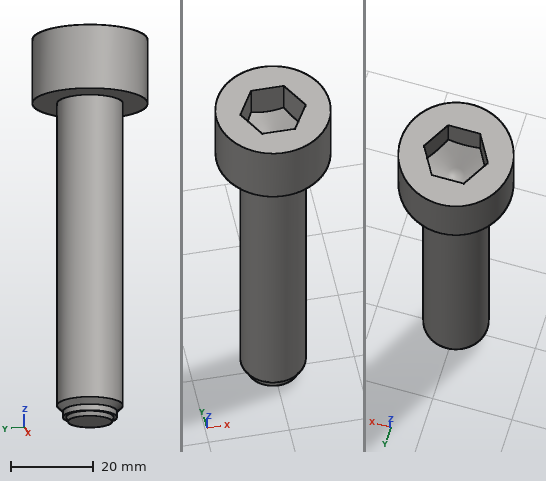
import cadquery as cq
import math


head_diameter = 28.0
head_height = 16.0
socket_across_flats = 14.0
socket_depth = 8.0
socket_cone_angle = 120.0

shank_diameter = 16.0
tip_diameter = 13.1
under_head_length = 80.0
tip_height = 1.5
ball_projection = 1.1

ball_diameter = 12.0
ball_flat_diameter = 10.7

head_radius = head_diameter / 2
shank_radius = shank_diameter / 2
tip_radius = tip_diameter / 2
ball_radius = ball_diameter / 2
ball_flat_radius = ball_flat_diameter / 2

chamfer = shank_radius - tip_radius
ball_flat_z = -under_head_length
screw_end_z = ball_flat_z + ball_projection
tip_top_z = screw_end_z + tip_height
ball_center_z = ball_flat_z + math.sqrt(ball_radius**2 - ball_flat_radius**2)


def revolve_about_z(outline):
    """Revolve a closed XZ outline a full turn about the Z axis."""
    return outline.revolve(360, (0, 0, 0), (0, 1, 0))


def make_screw_blank():
    """Head, shank, 45 degree chamfer and tip as one turned shape."""
    outline = (
        cq.Workplane("XZ")
        .moveTo(0, head_height)
        .lineTo(head_radius, head_height)
        .lineTo(head_radius, 0)
        .lineTo(shank_radius, 0)
        .lineTo(shank_radius, tip_top_z + chamfer)
        .lineTo(tip_radius, tip_top_z)
        .lineTo(tip_radius, screw_end_z)
        .lineTo(0, screw_end_z)
        .close()
    )
    return revolve_about_z(outline)


def make_socket():
    """Hexagonal recess with corners on the X axis and a conical bottom."""
    corner_radius = socket_across_flats / math.sqrt(3)
    cone_depth = corner_radius / math.tan(math.radians(socket_cone_angle / 2))
    full_depth = socket_depth + cone_depth
    hexagon = (
        cq.Workplane("XY")
        .workplane(offset=head_height)
        .polygon(6, 2 * corner_radius)
        .extrude(-full_depth)
    )
    drill_outline = (
        cq.Workplane("XZ")
        .moveTo(0, head_height)
        .lineTo(corner_radius, head_height)
        .lineTo(corner_radius, head_height - socket_depth)
        .lineTo(0, head_height - full_depth)
        .close()
    )
    return hexagon.intersect(revolve_about_z(drill_outline))


def make_ball():
    """Ball cut flat on its lower side."""
    outline = (
        cq.Workplane("XZ")
        .moveTo(0, ball_flat_z)
        .lineTo(ball_flat_radius, ball_flat_z)
        .threePointArc((ball_radius, ball_center_z), (0, ball_center_z + ball_radius))
        .close()
    )
    return revolve_about_z(outline)


ball = make_ball()
screw = make_screw_blank().cut(make_socket()).cut(ball)

result = cq.Compound.makeCompound([screw.solids().val(), ball.val()])